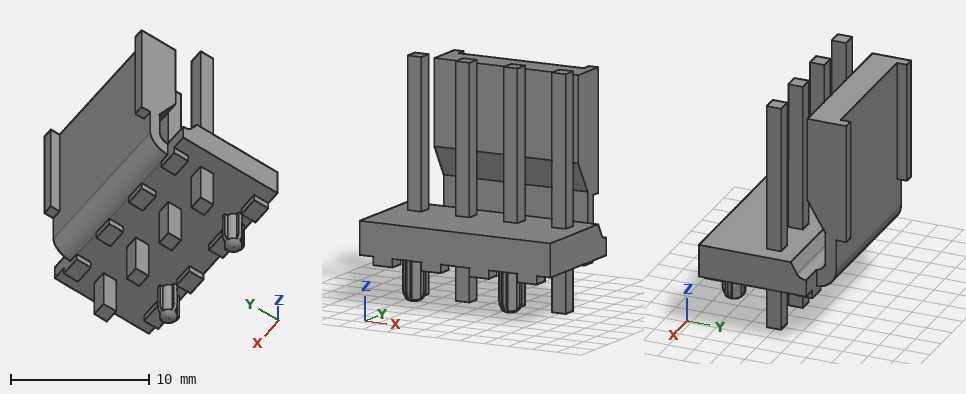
import cadquery as cq
import math


pin_count = 4
pitch = 3.96
pin_side = 1.14
pin_length = 17.78
pin_y = 5.33

base_length = 15.72
base_depth = 8.46
base_bottom = 3.77
base_top = 6.31

foot_width = 1.58
foot_depth = 1.26
foot_height = 0.64

peg_y = 1.1
peg_tip_z = 0.57
peg_radius = 0.87
peg_core_radius = 0.64
peg_rib_width = 0.28
peg_tip_round = 0.8

latch_length = 11.88
rail_back = 10.8
arm_back = 10.01
arm_front = 9.15
hook_front = 7.73
hook_top = 17.07
hook_face_bottom = 10.53
hook_slope_bottom = 8.15
rail_bottom = 7.73
rail_thickness = 0.78

bend_outer_radius = arm_back - base_depth
bend_inner_radius = 0.76
bend_inner_y = arm_front - bend_inner_radius
bend_inner_z = 5.85
ramp_angle = math.radians(60)

pin_positions = [(i - (pin_count - 1) / 2) * pitch for i in range(pin_count)]


def box(x_center, x_size, y_min, y_max, z_min, z_max):
    """Box centred on x_center, with limits given along Y and Z."""
    return (
        cq.Workplane("XY")
        .box(x_size, y_max - y_min, z_max - z_min, centered=(True, False, False))
        .translate((x_center, y_min, z_min))
    )


def bend_point(angle):
    """Point on the inner bend; the angle is measured from +Y towards +Z."""
    return (
        bend_inner_y + bend_inner_radius * math.cos(angle),
        bend_inner_z + bend_inner_radius * math.sin(angle),
    )


bend_split_angle = -math.acos((base_depth - bend_inner_y) / bend_inner_radius)
bend_split = bend_point(bend_split_angle)

ramp_start_angle = -math.pi / 2 - ramp_angle
ramp_start = bend_point(ramp_start_angle)
ramp_end_y = ramp_start[0] - (base_top - ramp_start[1]) / math.tan(ramp_angle)


def make_base():
    """Base plate with the ramp and part of the inner bend along its back edge."""
    profile = (
        cq.Workplane("YZ")
        .moveTo(0, base_bottom)
        .lineTo(base_depth, base_bottom)
        .lineTo(*bend_split)
        .threePointArc(bend_point(-math.pi / 2), ramp_start)
        .lineTo(ramp_end_y, base_top)
        .lineTo(0, base_top)
        .close()
    )
    return profile.extrude(base_length / 2, both=True)


def make_latch():
    """Curved arm with a hooked top, stiffened by a back rail at each end."""
    outer_mid = (
        base_depth + bend_outer_radius * math.cos(math.pi / 4),
        base_bottom + bend_outer_radius * (1 - math.sin(math.pi / 4)),
    )
    latch = (
        cq.Workplane("YZ")
        .moveTo(base_depth, base_bottom)
        .threePointArc(outer_mid, (arm_back, base_bottom + bend_outer_radius))
        .lineTo(arm_back, hook_top)
        .lineTo(hook_front, hook_top)
        .lineTo(hook_front, hook_face_bottom)
        .lineTo(arm_front, hook_slope_bottom)
        .lineTo(arm_front, bend_inner_z)
        .threePointArc(bend_point(bend_split_angle / 2), bend_split)
        .close()
        .extrude(latch_length / 2, both=True)
    )
    for side in (-1, 1):
        rail_x = side * (latch_length - rail_thickness) / 2
        latch = latch.union(box(rail_x, rail_thickness, arm_front, rail_back, rail_bottom, hook_top))
    return latch


def make_peg(x):
    """Round-ended peg whose four crush ribs stand out from a slimmer core."""
    height = base_bottom - peg_tip_z
    envelope = cq.Workplane("XY").circle(peg_radius).extrude(height)
    envelope = envelope.faces("<Z").edges().fillet(peg_tip_round)
    section = (
        cq.Workplane("XY")
        .circle(peg_core_radius)
        .extrude(height)
        .union(box(0, 2 * peg_radius, -peg_rib_width / 2, peg_rib_width / 2, 0, height))
        .union(box(0, peg_rib_width, -peg_radius, peg_radius, 0, height))
    )
    return envelope.intersect(section).translate((x, peg_y, peg_tip_z))


def make_pin(x):
    half_side = pin_side / 2
    return box(x, pin_side, pin_y - half_side, pin_y + half_side, 0, pin_length)


def make_foot(x, front):
    return box(x, foot_width, front, front + foot_depth, base_bottom - foot_height, base_bottom)


result = make_base().union(make_latch())

for pin_x in pin_positions:
    result = result.union(make_pin(pin_x))
    for foot_front in (0, base_depth - foot_depth):
        result = result.union(make_foot(pin_x, foot_front))

for peg_x in (-pitch, pitch):
    result = result.union(make_peg(peg_x))